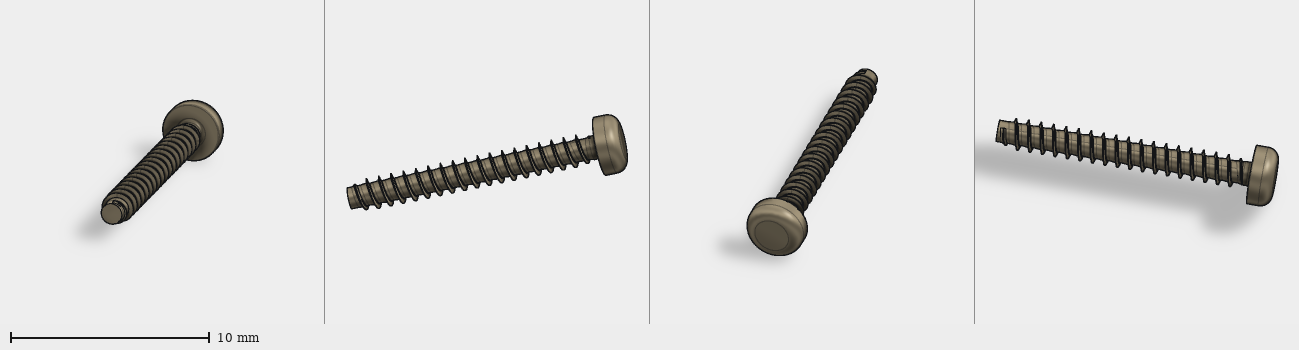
import cadquery as cq
import math

head_radius = 3.0 / 2
head_height = 1.2
dome_radius = 0.6
rim_radius = 0.04

total_length = 14.2
tip_y = head_height - total_length
neck_radius = 1.2 / 2
neck_fillet = 0.17
neck_length = 0.38
neck_taper_length = 0.21
core_radius = 1.1 / 2
tip_cone_height = 0.03

pitch = 0.64
turns = 19.25
fade_turns = 1.0
crest_radius = 1.6 / 2
faded_crest_radius = 0.61
crest_width = 0.03
flank_foot_radius = 0.58
flank_foot_width = 0.14
head_side_reach = 0.14
tail_reach = 0.44
faded_tail_reach = 0.17
root_sink = 0.035
tail_sink = 0.007
thread_start_y = tip_y + 0.33
points_per_turn = 16


def corner_arc(profile, corner, end, radius, inward):
    """Round a square corner with a quarter arc; `inward` points from the corner to the arc centre."""
    inset = radius * (1 - math.sqrt(0.5))
    middle = (corner[0] + inward[0] * inset, corner[1] + inward[1] * inset)
    return profile.threePointArc(middle, end)


def make_body():
    """Head, neck and core as one revolved (radius, Y) profile around the Y axis."""
    profile = (
        cq.Workplane("ZY")
        .moveTo(0, tip_y)
        .lineTo(core_radius, tip_y + tip_cone_height)
        .lineTo(core_radius, -neck_length - neck_taper_length)
        .lineTo(neck_radius, -neck_length)
        .lineTo(neck_radius, -neck_fillet)
    )
    fillet_end = (neck_radius + neck_fillet, 0)
    profile = corner_arc(profile, (neck_radius, 0), fillet_end, neck_fillet, (1, -1))

    profile = profile.lineTo(head_radius - rim_radius, 0)
    rim_end = (head_radius, rim_radius)
    profile = corner_arc(profile, (head_radius, 0), rim_end, rim_radius, (-1, 1))

    profile = profile.lineTo(head_radius, head_height - dome_radius)
    dome_end = (head_radius - dome_radius, head_height)
    profile = corner_arc(profile, (head_radius, head_height), dome_end, dome_radius, (-1, -1))

    profile = profile.lineTo(0, head_height).close()
    return profile.revolve(360, (0, 0, 0), (0, 1, 0))


def ridge_section(crest, tail):
    """Corners of the thread section as (Y offset, radius), from the head side to the tip side."""
    return [
        (head_side_reach, core_radius - root_sink),
        (flank_foot_width / 2, flank_foot_radius),
        (crest_width / 2, crest),
        (-crest_width / 2, crest),
        (-flank_foot_width / 2, flank_foot_radius),
        (-tail, core_radius - tail_sink),
    ]


def helix_edge(first_turn, last_turn, first_corner, last_corner):
    """Helix around Y that starts at +Z, turns through +X and climbs towards the head."""
    steps = round((last_turn - first_turn) * points_per_turn)
    points = []
    for step in range(steps + 1):
        fraction = step / steps
        turn = first_turn + (last_turn - first_turn) * fraction
        offset = first_corner[0] + (last_corner[0] - first_corner[0]) * fraction
        radius = first_corner[1] + (last_corner[1] - first_corner[1]) * fraction
        angle = 2 * math.pi * turn
        y = thread_start_y + pitch * turn + offset
        points.append(cq.Vector(radius * math.sin(angle), y, radius * math.cos(angle)))
    return cq.Edge.makeSpline(points)


def make_thread_stretch(first_turn, last_turn, first_section, last_section):
    """Solid ridge, at most one turn long, that blends between two sections."""
    edges = [
        helix_edge(first_turn, last_turn, first_corner, last_corner)
        for first_corner, last_corner in zip(first_section, last_section)
    ]
    faces = []
    for index, edge in enumerate(edges):
        faces.append(cq.Face.makeRuledSurface(edges[index - 1], edge))
    for end in (0, 1):
        corners = [edge.positionAt(end) for edge in edges]
        faces.append(cq.Face.makeFromWires(cq.Wire.makePolygon(corners, close=True)))
    return cq.Solid.makeSolid(cq.Shell.makeShell(faces)).fix()


full_section = ridge_section(crest_radius, tail_reach)
faded_section = ridge_section(faded_crest_radius, faded_tail_reach)
full_end = turns - fade_turns

thread_stretches = [make_thread_stretch(0, fade_turns, faded_section, full_section)]
stretch_start = fade_turns
while stretch_start < full_end:
    stretch_end = min(stretch_start + 1, full_end)
    thread_stretches.append(
        make_thread_stretch(stretch_start, stretch_end, full_section, full_section)
    )
    stretch_start = stretch_end
thread_stretches.append(make_thread_stretch(full_end, turns, full_section, faded_section))

screw = make_body().val().fuse(*thread_stretches)
result = cq.Workplane(obj=screw.Solids()[0])